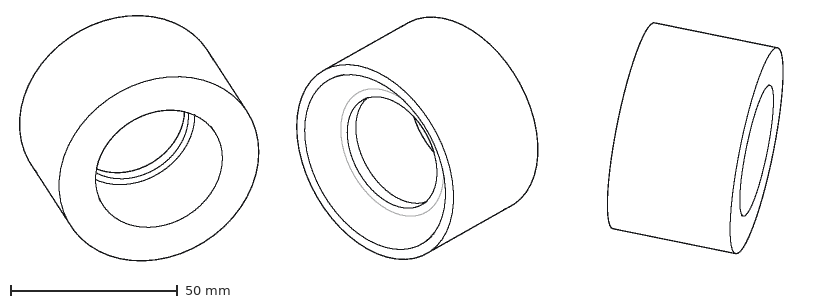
import cadquery as cq
import math

length = 38.0
outer_diameter = 63.0

mouth_diameter = 56.5
floor_diameter = 41.2

lip_bore_diameter = 36.0
rear_bore_diameter = 40.0
rear_bore_depth = 26.5

outer_radius = outer_diameter / 2
mouth_radius = mouth_diameter / 2
floor_radius = floor_diameter / 2
lip_bore_radius = lip_bore_diameter / 2
rear_bore_radius = rear_bore_diameter / 2

x_front = -length / 2
x_rear = length / 2
x_lip_rear = x_rear - rear_bore_depth

bowl_radius = mouth_radius - floor_radius
x_floor = x_front + bowl_radius
arc_middle_offset = bowl_radius * math.cos(math.radians(45))
arc_middle = (x_front + arc_middle_offset, floor_radius + arc_middle_offset)

half_section = (
    cq.Workplane("XY")
    .moveTo(x_front, outer_radius)
    .lineTo(x_rear, outer_radius)
    .lineTo(x_rear, rear_bore_radius)
    .lineTo(x_lip_rear, rear_bore_radius)
    .lineTo(x_lip_rear, lip_bore_radius)
    .lineTo(x_floor, lip_bore_radius)
    .lineTo(x_floor, floor_radius)
    .threePointArc(arc_middle, (x_front, mouth_radius))
    .close()
)

result = half_section.revolve(360, (0, 0, 0), (1, 0, 0))